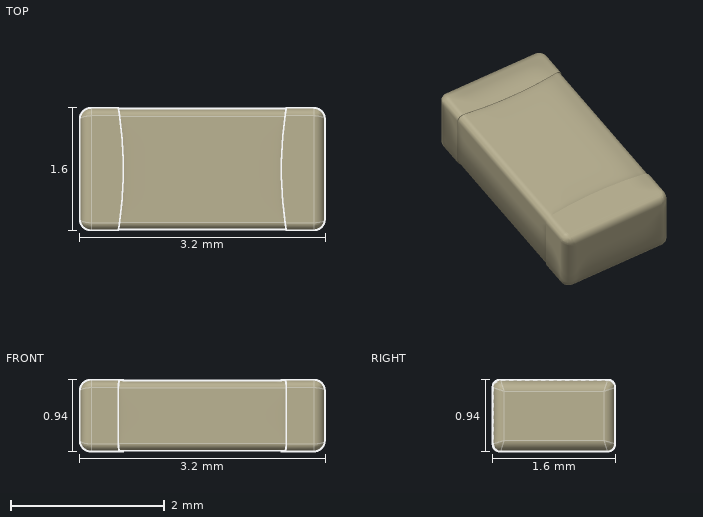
import cadquery as cq

length = 3.2
width = 1.6
height = 0.94

end_radius = 0.15
long_edge_radius = 0.1

plating_thickness = 0.01

terminal_side_length = 0.505
terminal_middle_length = 0.57


def terminal_envelope():
    """Full-size block with rounded ends and rounded long edges."""
    block = cq.Workplane("XY").box(length, width, height)
    rounded_ends = block.faces("<X or >X").edges().fillet(end_radius)
    return rounded_ends.edges("|X").fillet(long_edge_radius)


def terminal_gap():
    """Plan-shaped prism between the terminals, hollowed by their bulging inner edges."""
    side_x = length / 2 - terminal_side_length
    middle_x = length / 2 - terminal_middle_length
    half_width = width / 2
    return (
        cq.Workplane("XY")
        .moveTo(-side_x, -half_width)
        .lineTo(side_x, -half_width)
        .threePointArc((middle_x, 0), (side_x, half_width))
        .lineTo(-side_x, half_width)
        .threePointArc((-middle_x, 0), (-side_x, -half_width))
        .close()
        .extrude(height / 2, both=True)
    )


def ceramic_body():
    """Rounded bar that joins the two terminals."""
    body_length = length - 2 * end_radius
    body_width = width - 2 * plating_thickness
    body_height = height - 2 * plating_thickness
    bar = cq.Workplane("XY").box(body_length, body_width, body_height)
    return bar.edges("|X").fillet(long_edge_radius)


terminals = terminal_envelope().cut(terminal_gap())
body_between_terminals = ceramic_body().intersect(terminal_gap())
result = terminals.union(body_between_terminals)